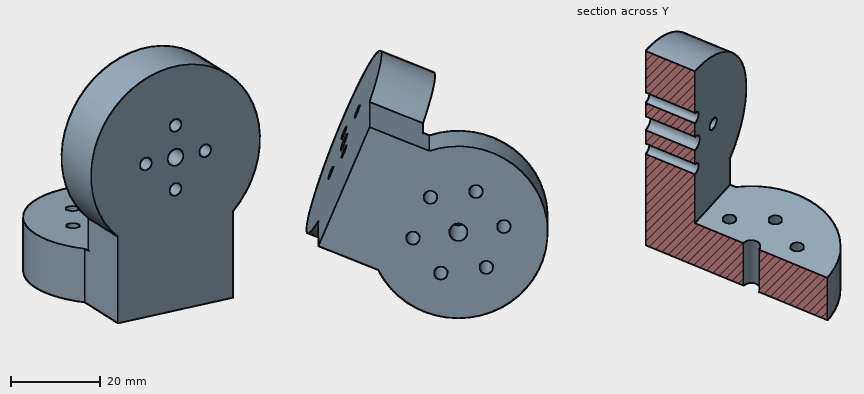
import cadquery as cq

base_radius = 20.0
upright_radius = 22.0
thickness = 13.0
neck_width = 30.0
total_height = 59.0
back_x = 27.75

center_hole_diameter = 4.0
screw_hole_diameter = 3.0
base_bolt_radius = 10.25
base_bolt_count = 6
upright_bolt_radius = 7.7
upright_bolt_count = 4
first_bolt_angle = 90

front_x = back_x - thickness
upright_center_z = total_height - upright_radius


def drilled_disc(radius, bolt_radius, bolt_count):
    """Disc standing on XY with a center hole and a ring of screw holes, all through."""
    return (
        cq.Workplane("XY")
        .circle(radius)
        .extrude(thickness)
        .faces(">Z")
        .workplane()
        .hole(center_hole_diameter)
        .faces(">Z")
        .workplane()
        .polarArray(bolt_radius, first_bolt_angle, 360, bolt_count)
        .hole(screw_hole_diameter)
    )


def neck_block(start_x, end_x, bottom_z, top_z):
    """Block of neck width, centered on Y."""
    return (
        cq.Workplane("XY")
        .box(end_x - start_x, neck_width, top_z - bottom_z, centered=(False, True, False))
        .translate((start_x, 0, bottom_z))
    )


base = drilled_disc(base_radius, base_bolt_radius, base_bolt_count)
upright = (
    drilled_disc(upright_radius, upright_bolt_radius, upright_bolt_count)
    .rotate((0, 0, 0), (0, 1, 0), 90)
    .translate((front_x, 0, upright_center_z))
)

half_width = neck_width / 2
base_chord_x = (base_radius**2 - half_width**2) ** 0.5
upright_chord_z = upright_center_z - (upright_radius**2 - half_width**2) ** 0.5
foot = neck_block(base_chord_x, back_x, 0, thickness)
riser = neck_block(front_x, back_x, 0, upright_chord_z)

result = base.union(foot).union(riser).union(upright)